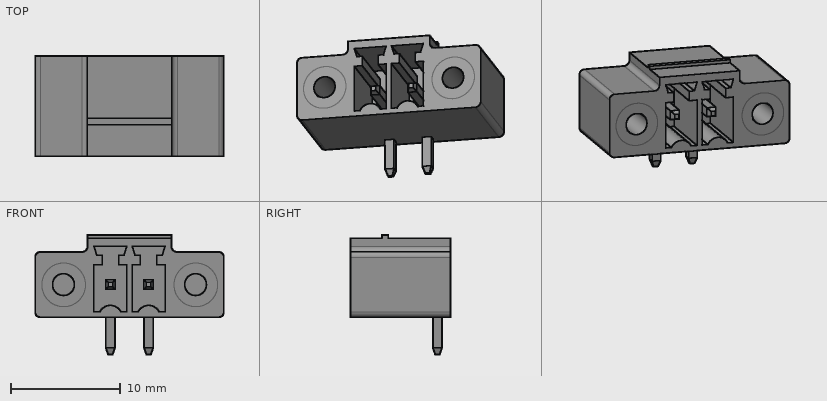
import cadquery as cq


flange_width = 17.3
flange_height = 6.0
tower_width = 7.7
tower_height = 7.25
housing_depth = 9.2
corner_radius = 0.5

rib_front = 2.9
rib_thickness = 0.6
rib_height = 0.3

way_count = 2
pitch = 3.5
axis_height = 3.0
way_positions = [(i - (way_count - 1) / 2) * pitch for i in range(way_count)]

pocket_depth = 7.0
pocket_width = 3.0
pocket_floor = 0.5
chamber_top = 4.8
neck_width = 1.5
neck_top = 5.7
dovetail_bottom_width = 2.5
dovetail_top_width = pocket_width
dovetail_top = 6.5
bump_width = 1.92
bump_height = 0.6

pin_size = 0.85
pin_tip_size = pin_size / 2
pin_tip_length = 0.6
pin_front = 1.4
tail_setback = 1.22
tail_y = housing_depth - tail_setback
tail_length = 3.4

sleeve_spacing = 12.1
sleeve_diameter = 4.0
sleeve_bore = 2.0
sleeve_depth = 7.0
sleeve_positions = [-sleeve_spacing / 2, sleeve_spacing / 2]


def make_housing_block():
    """Stepped block: wide flanges with a raised tower in the middle."""
    flanges = (
        cq.Workplane("XY")
        .box(flange_width, housing_depth, flange_height, centered=(True, False, False))
        .edges("|Y")
        .fillet(corner_radius)
    )
    tower = cq.Workplane("XY").box(
        tower_width, housing_depth, tower_height, centered=(True, False, False)
    )
    block = flanges.union(tower)
    half_tower = tower_width / 2
    margin = corner_radius / 2
    inner_corners = cq.selectors.BoxSelector(
        (-half_tower - margin, -margin, flange_height - margin),
        (half_tower + margin, housing_depth + margin, flange_height + margin),
    )
    return block.edges("|Y").edges(inner_corners).fillet(corner_radius)


def make_rib():
    """Low rib running across the top of the tower."""
    return (
        cq.Workplane("XY")
        .box(tower_width, rib_thickness, rib_height, centered=(True, False, False))
        .translate((0, rib_front, tower_height))
    )


def make_pocket(x):
    """Void of one way, with a rounded bump left standing along its floor."""
    side = pocket_width / 2
    neck = neck_width / 2
    dovetail_bottom = dovetail_bottom_width / 2
    dovetail_side = dovetail_top_width / 2
    bump = bump_width / 2
    return (
        cq.Workplane("XZ", origin=(x, 0, 0))
        .moveTo(-side, pocket_floor)
        .lineTo(-bump, pocket_floor)
        .threePointArc((0, pocket_floor + bump_height), (bump, pocket_floor))
        .lineTo(side, pocket_floor)
        .lineTo(side, chamber_top)
        .lineTo(neck, chamber_top)
        .lineTo(neck, neck_top)
        .lineTo(dovetail_bottom, neck_top)
        .lineTo(dovetail_side, dovetail_top)
        .lineTo(-dovetail_side, dovetail_top)
        .lineTo(-dovetail_bottom, neck_top)
        .lineTo(-neck, neck_top)
        .lineTo(-neck, chamber_top)
        .lineTo(-side, chamber_top)
        .close()
        .extrude(-pocket_depth)
    )


def make_pin_leg(start, direction, length):
    """Square bar from start along direction, ending in a tapered tip."""
    shank_length = length - pin_tip_length
    plane = cq.Plane(origin=start, xDir=(1, 0, 0), normal=direction)
    return (
        cq.Workplane(plane)
        .rect(pin_size, pin_size)
        .extrude(shank_length)
        .faces(cq.selectors.DirectionMinMaxSelector(cq.Vector(*direction)))
        .workplane()
        .rect(pin_size, pin_size)
        .workplane(offset=pin_tip_length)
        .rect(pin_tip_size, pin_tip_size)
        .loft(combine=True)
    )


def make_pin(x):
    """Right-angle pin: contact towards the front, solder tail downwards."""
    half_pin = pin_size / 2
    contact_start = tail_y + half_pin
    contact = make_pin_leg((x, contact_start, axis_height), (0, -1, 0), contact_start - pin_front)
    tail = make_pin_leg((x, tail_y, axis_height), (0, 0, -1), axis_height + tail_length)
    return contact.union(tail)


def make_sleeve_seat(x):
    """Void of the blind hole in a flange that receives a sleeve."""
    return (
        cq.Workplane("XZ", origin=(x, 0, axis_height))
        .circle(sleeve_diameter / 2)
        .extrude(-sleeve_depth)
    )


def make_sleeve(x):
    """Tube that fills the seat and leaves a blind bore."""
    return (
        cq.Workplane("XZ", origin=(x, 0, axis_height))
        .circle(sleeve_diameter / 2)
        .circle(sleeve_bore / 2)
        .extrude(-sleeve_depth)
    )


header = make_housing_block().union(make_rib())
for way_x in way_positions:
    header = header.cut(make_pocket(way_x)).union(make_pin(way_x))
for sleeve_x in sleeve_positions:
    header = header.cut(make_sleeve_seat(sleeve_x))

for sleeve_x in sleeve_positions:
    header = header.union(make_sleeve(sleeve_x), clean=False)

result = header